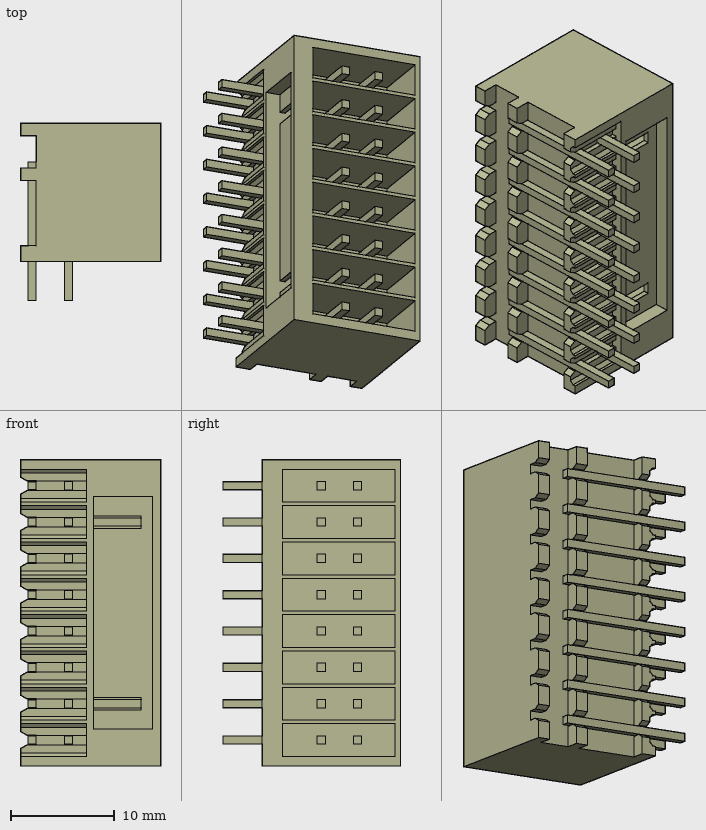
import cadquery as cq

width = 13.5
depth = 13.33
length = 29.5

contact_count = 8
contact_row_span = 24.48
pitch = contact_row_span / (contact_count - 1)
contact_heights = [length / 2 + (i - (contact_count - 1) / 2) * pitch for i in range(contact_count)]

strip_height = 1.5
back_strip_depth = 1.25
middle_strip_start = 7.8
middle_strip_depth = 1.25
front_strip_depth = 1.53

pin_size = 0.8
outer_pin_x = strip_height - pin_size / 2
inner_pin_x = outer_pin_x + pitch
pin_projection = 3.78
pin_inner_end = 9.6

slot_height = 0.9
flare = 0.35
flare_depth = 0.62

pocket_width = 6.35
pocket_height = 3.15
pocket_taper = 0.35
pocket_straight_depth = 0.3
pocket_floor_depth = 0.65
pocket_slot_depth = 1.15

recess_start_x = 7.02
recess_width = 5.7
recess_height = 22.35
recess_depth = 1.45

wall = 0.53
cell_start_y = recess_depth + wall
cell_length = width - recess_start_x
cell_depth = depth - wall - cell_start_y
cell_height = pocket_height

window_length = 4.57
window_height = 1.2
window_contacts = (1, contact_count - 2)

outer_arm_y = pin_inner_end - pin_size / 2
inner_arm_y = outer_arm_y - pitch
arm_end_x = width - wall


def box(x, y, z_middle, size_x, size_y, size_z):
    """Box from its lowest x and y corner, centred on z_middle."""
    block = cq.Workplane("XY").box(size_x, size_y, size_z, centered=(False, False, True))
    return block.translate((x, y, z_middle))


def housing():
    """Block with two channels along the -X face, leaving three upright strips."""
    middle_strip_end = middle_strip_start + middle_strip_depth
    back_channel_depth = depth - back_strip_depth - middle_strip_end
    front_channel_depth = middle_strip_start - front_strip_depth
    block = box(0, 0, length / 2, width, depth, length)
    back_channel = box(0, middle_strip_end, length / 2, strip_height, back_channel_depth, length)
    front_channel = box(0, front_strip_depth, length / 2, strip_height, front_channel_depth, length)
    return block.cut(back_channel).cut(front_channel)


def strip_slot():
    """Slot across all strips, centred on z = 0 and flared towards the -X face."""
    half = slot_height / 2
    outline = [
        (0, -half - flare),
        (flare_depth, -half),
        (strip_height, -half),
        (strip_height, half),
        (flare_depth, half),
        (0, half + flare),
    ]
    return cq.Workplane("XZ").polyline(outline).close().extrude(-depth)


def contact_pocket():
    """Pocket along X, centred on z = 0: straight mouth, tapered walls, then the pin slot."""
    mouth = pocket_height / 2
    floor = mouth - pocket_taper
    slot = slot_height / 2
    outline = [
        (0, -mouth),
        (pocket_straight_depth, -mouth),
        (pocket_floor_depth, -floor),
        (pocket_floor_depth, -slot),
        (pocket_slot_depth, -slot),
        (pocket_slot_depth, slot),
        (pocket_floor_depth, slot),
        (pocket_floor_depth, floor),
        (pocket_straight_depth, mouth),
        (0, mouth),
    ]
    return cq.Workplane("YZ").polyline(outline).close().extrude(pocket_width)


def bent_pin(leg_x, arm_y):
    """L-shaped square pin, centred on z = 0, with its leg along Y and its arm along +X."""
    half = pin_size / 2
    leg = box(leg_x - half, -pin_projection, 0, pin_size, pin_projection + arm_y + half, pin_size)
    arm = box(leg_x - half, arm_y - half, 0, arm_end_x - leg_x + half, pin_size, pin_size)
    return leg.union(arm)


result = housing()
result = result.cut(box(recess_start_x, 0, length / 2, recess_width, recess_depth, recess_height))

for z in contact_heights:
    result = result.cut(strip_slot().translate((0, 0, z)))
    result = result.cut(contact_pocket().translate((0, 0, z)))
    result = result.cut(box(recess_start_x, cell_start_y, z, cell_length, cell_depth, cell_height))

for contact in window_contacts:
    z = contact_heights[contact]
    result = result.cut(box(recess_start_x, recess_depth, z, window_length, wall, window_height))

for z in contact_heights:
    result = result.union(bent_pin(outer_pin_x, outer_arm_y).translate((0, 0, z)))
    result = result.union(bent_pin(inner_pin_x, inner_arm_y).translate((0, 0, z)))